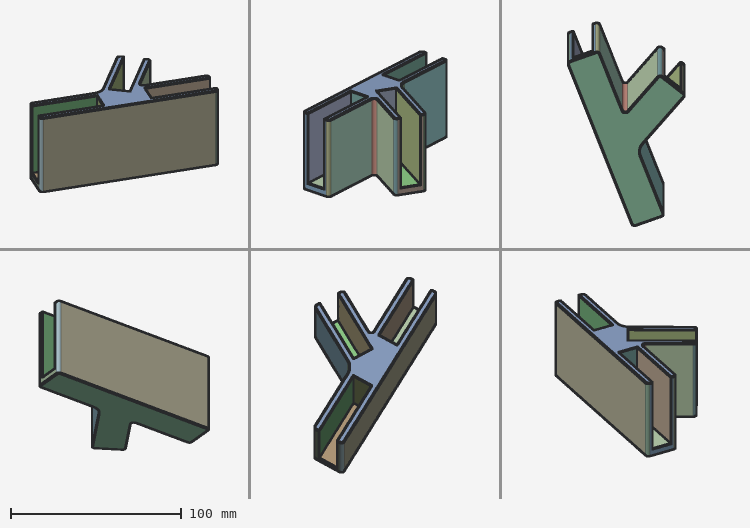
import cadquery as cq
import math

length = 110.0
height = 50.0
limb_width = 20.0
slot_width = 12.0
slot_depth = 40.0
floor_thickness = 5.0
arm_angle = 150.0
arm_slot_end_x = -8.6
corner_radius = 2.0
acute_fillet = 1.8
obtuse_fillet = 7.5
edge_chamfer = 0.5
mouth_chamfer = 0.4

half_width = limb_width / 2
arm_cos = math.cos(math.radians(arm_angle))
arm_sin = math.sin(math.radians(arm_angle))
arm_overlap = half_width


def limb(limb_length):
    """Limb along +X, with its inner end at the origin and rounded outer corners."""
    return (
        cq.Workplane("XY")
        .box(limb_length, limb_width, height, centered=(False, True, False))
        .edges("|Z and >X")
        .fillet(corner_radius)
    )


def slot_cutter():
    """Slot along +X, from the origin to the limb tip, with flared top and end mouths."""
    slot_height = height - floor_thickness
    slot = (
        cq.Workplane("XY", origin=(0, 0, floor_thickness))
        .box(slot_depth, slot_width, slot_height, centered=(False, True, False))
    )
    top_mouth = (
        cq.Workplane("XY", origin=(slot_depth / 2, 0, height - mouth_chamfer))
        .rect(slot_depth, slot_width)
        .workplane(offset=mouth_chamfer)
        .rect(slot_depth + 2 * mouth_chamfer, slot_width + 2 * mouth_chamfer)
        .loft(ruled=True)
    )
    end_mouth = (
        cq.Workplane("YZ", origin=(slot_depth - mouth_chamfer, 0, floor_thickness + slot_height / 2))
        .rect(slot_width, slot_height)
        .workplane(offset=mouth_chamfer)
        .rect(slot_width + 2 * mouth_chamfer, slot_height + 2 * mouth_chamfer)
        .loft(ruled=True)
    )
    return slot.union(top_mouth).union(end_mouth)


def place(shape, angle, x, y):
    """Turn a shape about Z, then move its origin to (x, y)."""
    return shape.rotate((0, 0, 0), (0, 0, 1), angle).translate((x, y, 0))


def wall_junction(side):
    """Point where the arm wall on the given Y side (+1 or -1) meets the bar face."""
    wall_x = arm_slot_end_x + side * half_width * arm_sin
    wall_y = -side * half_width * arm_cos
    return -half_width, wall_y + (-half_width - wall_x) * arm_sin / arm_cos


def fillet_junction(shape, side, radius):
    """Round the vertical inside corner on one side of the arm."""
    x, y = wall_junction(side)
    nearest = cq.selectors.NearestToPointSelector((x, y, height / 2))
    return shape.edges("|Z").edges(nearest).fillet(radius)


body = place(limb(length / 2), 90, 0, 0)
body = body.union(place(limb(length / 2), -90, 0, 0))
arm_body = limb(slot_depth + arm_overlap).translate((-arm_overlap, 0, 0))
body = body.union(place(arm_body, arm_angle, arm_slot_end_x, 0)).clean()
body = fillet_junction(body, 1, acute_fillet)
body = fillet_junction(body, -1, obtuse_fillet)
body = body.faces("<Z or >Z").edges().chamfer(edge_chamfer)

bar_slot_end = length / 2 - slot_depth
slot_places = [
    (90, 0, bar_slot_end),
    (-90, 0, -bar_slot_end),
    (arm_angle, arm_slot_end_x, 0),
]
for angle, x, y in slot_places:
    body = body.cut(place(slot_cutter(), angle, x, y))

result = body